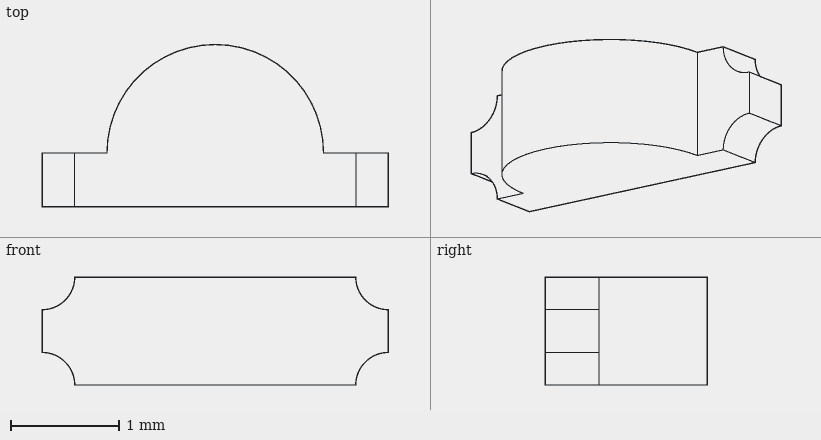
import cadquery as cq

length = 3.2
depth = 1.5
height = 1.0
bar_depth = 0.5
notch_radius = 0.3

dome_radius = depth - bar_depth


def make_bar():
    """Rectangular bar with its front face on Y = 0."""
    return cq.Workplane("XY").box(length, bar_depth, height, centered=(True, False, True))


def make_dome():
    """Half cylinder on the back of the bar, as tall as the bar."""
    return (
        cq.Workplane("XY")
        .workplane(offset=-height / 2)
        .moveTo(-dome_radius, bar_depth)
        .threePointArc((0, depth), (dome_radius, bar_depth))
        .close()
        .extrude(height)
    )


def make_corner_notches():
    """Cylinders along Y, centred on the four long edges at the bar ends."""
    return (
        cq.Workplane("XZ")
        .rect(length, height, forConstruction=True)
        .vertices()
        .circle(notch_radius)
        .extrude(-bar_depth)
    )


result = make_bar().cut(make_corner_notches()).union(make_dome())